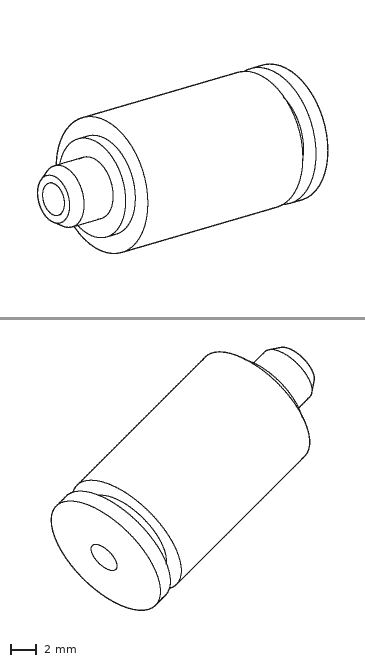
import cadquery as cq

body_radius = 5.5
collar_radius = 4.0
stem_radius = 2.5
tip_radius = 1.93
bore_radius = 1.3
cap_face_radius = 4.25

total_length = 23.8
tip_taper_length = 1.0
stem_length = 3.0
collar_length = 1.0
body_length = 16.0
neck_length = 1.35
cap_taper_length = 0.21

stem_start = tip_taper_length
collar_start = stem_start + stem_length
body_start = collar_start + collar_length
neck_start = body_start + body_length
cap_start = neck_start + neck_length
cap_taper_start = total_length - cap_taper_length

half_section = (
    cq.Workplane("XY")
    .moveTo(bore_radius, 0)
    .lineTo(tip_radius, 0)
    .lineTo(stem_radius, stem_start)
    .lineTo(stem_radius, collar_start)
    .lineTo(collar_radius, collar_start)
    .lineTo(collar_radius, body_start)
    .lineTo(body_radius, body_start)
    .lineTo(body_radius, neck_start)
    .lineTo(collar_radius, neck_start)
    .lineTo(collar_radius, cap_start)
    .lineTo(body_radius, cap_start)
    .lineTo(body_radius, cap_taper_start)
    .lineTo(cap_face_radius, total_length)
    .lineTo(bore_radius, total_length)
    .close()
)

result = half_section.revolve(360, (0, 0, 0), (0, 1, 0))